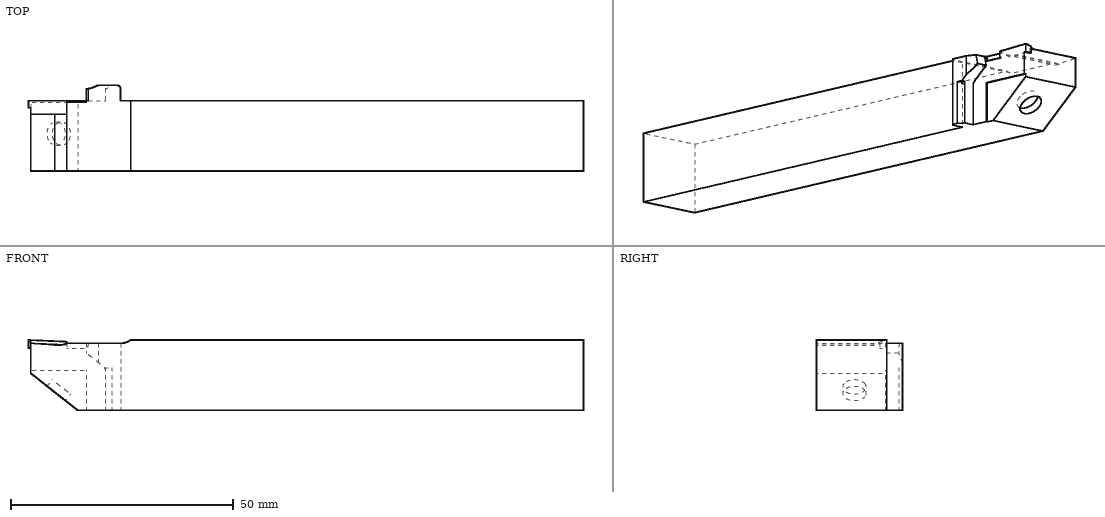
import cadquery as cq
import math

length = 125.0
shank_width = 15.9
shank_height = 15.9

nose_x = 0.5
nose_bottom_z = 8.4
relief_end_x = 11.1
head_drop = 0.8
head_z = shank_height - head_drop
shoulder_start_x = 20.8
shoulder_radius = 3.8
shoulder_run = math.sqrt(shoulder_radius**2 - (shoulder_radius - head_drop) ** 2)

seat_end_x = 8.6
seat_flat_end_x = 6.0
seat_depth = 0.4
seat_step_width = 0.5
seat_step_depth = 0.1

side_recess = 0.4
ledge_bottom_z = 9.0
ledge_top_z = 14.0

insert_width = 3.0
insert_bottom_z = ledge_top_z
insert_side_drop = 0.8
tip_width = 1.6

boss_start_x = 13.0
boss_end_x = shoulder_start_x
boss_reach = 3.5
boss_side_reach = 2.6
boss_flat_x = 15.8
boss_lead_x = 14.2
boss_lead_reach = 2.9
boss_corner_radius = 0.8
boss_front_lean = 0.5
undercut_top_z = 13.0
undercut_bottom_z = 9.6
undercut_fillet = 1.2

hole_diameter = 5.2
hole_depth = 1.9
hole_y = 8.5
hole_z = 3.9

relief_run = relief_end_x - nose_x
relief_slope = relief_run / nose_bottom_z


def arc_middle(start_x, start_z, run, radius):
    """Halfway point of a concave arc that leaves the start level and rises over the run."""
    half_angle = math.asin(run / radius) / 2
    return (start_x + radius * math.sin(half_angle), start_z + radius * (1 - math.cos(half_angle)))


def make_body():
    """Shank and head: one side profile swept across the full width."""
    seat_floor_z = head_z - seat_depth
    step_end_x = seat_flat_end_x + seat_step_width
    step_z = seat_floor_z - seat_step_depth
    seat_run = seat_end_x - step_end_x
    seat_rise = head_z - step_z
    seat_radius = (seat_run**2 + seat_rise**2) / (2 * seat_rise)
    profile = (
        cq.Workplane("XZ")
        .moveTo(relief_end_x, 0)
        .lineTo(length, 0)
        .lineTo(length, shank_height)
        .lineTo(shoulder_start_x + shoulder_run, shank_height)
        .threePointArc(
            arc_middle(shoulder_start_x, head_z, shoulder_run, shoulder_radius),
            (shoulder_start_x, head_z),
        )
        .lineTo(seat_end_x, head_z)
        .threePointArc(arc_middle(step_end_x, step_z, seat_run, seat_radius), (step_end_x, step_z))
        .lineTo(seat_flat_end_x, step_z)
        .lineTo(seat_flat_end_x, seat_floor_z)
        .lineTo(nose_x, head_z)
        .lineTo(nose_x, nose_bottom_z)
        .close()
    )
    return profile.extrude(-shank_width)


def side_recess_cut(bottom_z, top_z):
    """Shallow cut along the +Y side of the head, ahead of the boss."""
    return cq.Workplane("XY", origin=(0, shank_width - side_recess, bottom_z)).box(
        boss_start_x, side_recess, top_z - bottom_z, centered=False
    )


def insert_blank():
    """Insert outline with the tip overhanging the nose, up to full shank height."""
    inner_y = shank_width - insert_width
    tip_inner_y = shank_width - tip_width
    outline = [
        (0, shank_width),
        (0, tip_inner_y),
        (nose_x, tip_inner_y),
        (nose_x, inner_y),
        (seat_end_x, inner_y),
        (seat_end_x, shank_width),
    ]
    blank = cq.Workplane("XY", origin=(0, 0, insert_bottom_z)).polyline(outline).close()
    return blank.extrude(shank_height - insert_bottom_z)


def make_insert():
    """Cutting insert: the blank below a plane through the tip corner, tilted along X and Y."""
    top_plane = cq.Plane(
        origin=(0, shank_width, shank_height),
        xDir=(seat_end_x, 0, -seat_depth),
        normal=(seat_depth / seat_end_x, -insert_side_drop / insert_width, 1),
    )
    cutter_size = 2 * length
    above_top = cq.Workplane(top_plane).rect(cutter_size, cutter_size).extrude(shank_height)
    return insert_blank().cut(above_top)


def make_boss():
    """Boss on the +Y side: leaning front, set back below a face parallel to the front relief."""
    setback_x = boss_start_x + (undercut_top_z - undercut_bottom_z) * relief_slope
    boss = (
        cq.Workplane("XY")
        .moveTo(boss_start_x, shank_width - side_recess)
        .lineTo(boss_start_x, shank_width + boss_side_reach)
        .lineTo(boss_lead_x, shank_width + boss_lead_reach)
        .lineTo(boss_flat_x, shank_width + boss_reach)
        .lineTo(boss_end_x - boss_corner_radius, shank_width + boss_reach)
        .radiusArc((boss_end_x, shank_width + boss_reach - boss_corner_radius), boss_corner_radius)
        .lineTo(boss_end_x, shank_width - side_recess)
        .close()
        .extrude(head_z)
    )
    fillet_edge = cq.selectors.NearestToPointSelector(
        (setback_x, shank_width + boss_reach / 2, undercut_bottom_z)
    )
    undercut = (
        cq.Workplane("XZ", origin=(0, shank_width, 0))
        .moveTo(boss_start_x, 0)
        .lineTo(setback_x, 0)
        .lineTo(setback_x, undercut_bottom_z)
        .lineTo(boss_start_x, undercut_top_z)
        .close()
        .extrude(-boss_reach)
        .edges(fillet_edge)
        .fillet(undercut_fillet)
    )
    front_lean = (
        cq.Workplane("XZ", origin=(0, shank_width, 0))
        .moveTo(boss_start_x, undercut_top_z)
        .lineTo(boss_start_x + boss_front_lean, head_z)
        .lineTo(boss_start_x, head_z)
        .close()
        .extrude(-boss_reach)
    )
    lower_lead = (
        cq.Workplane("XY")
        .moveTo(setback_x, shank_width + boss_side_reach)
        .lineTo(setback_x + boss_flat_x - boss_lead_x, shank_width + boss_reach)
        .lineTo(setback_x, shank_width + boss_reach)
        .close()
        .extrude(undercut_bottom_z)
    )
    return boss.cut(undercut).cut(front_lean).cut(lower_lead)


def make_relief_hole():
    """Flat-bottomed hole drilled square to the relief face."""
    hole_x = relief_end_x - hole_z * relief_slope
    relief_plane = cq.Plane(
        origin=(hole_x, hole_y, hole_z),
        xDir=(0, 1, 0),
        normal=(nose_bottom_z, 0, relief_run),
    )
    return cq.Workplane(relief_plane).circle(hole_diameter / 2).extrude(hole_depth)


result = (
    make_body()
    .cut(side_recess_cut(0, ledge_bottom_z))
    .cut(side_recess_cut(ledge_top_z, shank_height))
    .cut(insert_blank())
    .union(make_insert())
    .union(make_boss())
    .cut(make_relief_hole())
)